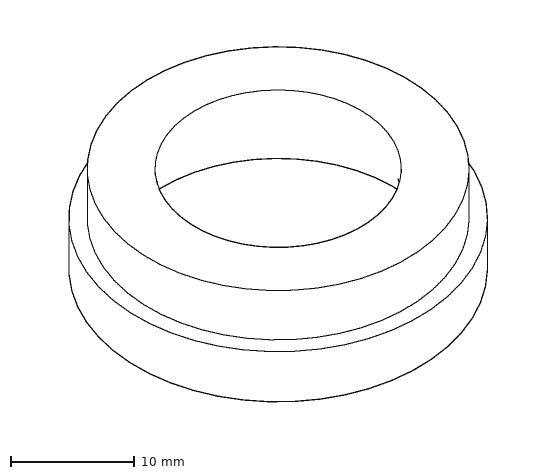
import cadquery as cq

flange_diameter = 34.0
collar_diameter = 31.0
bore_diameter = 20.0
total_height = 10.5
flange_height = 5.3

straight_bore_depth = 3.0
bore_mouth_diameter = 27.88
flare_arc_radius = 17.0

flange_radius = flange_diameter / 2
collar_radius = collar_diameter / 2
bore_radius = bore_diameter / 2
bore_mouth_radius = bore_mouth_diameter / 2
flare_height = total_height - straight_bore_depth

half_section = (
    cq.Workplane("XZ")
    .moveTo(bore_mouth_radius, 0)
    .lineTo(flange_radius, 0)
    .lineTo(flange_radius, flange_height)
    .lineTo(collar_radius, flange_height)
    .lineTo(collar_radius, total_height)
    .lineTo(bore_radius, total_height)
    .lineTo(bore_radius, flare_height)
    .radiusArc((bore_mouth_radius, 0), -flare_arc_radius)
    .close()
)

result = half_section.revolve(360, (0, 0, 0), (0, 1, 0))